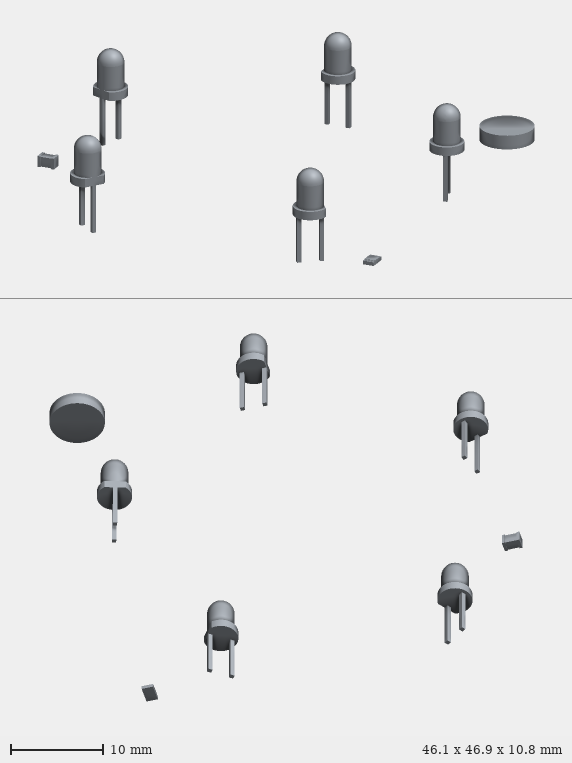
import cadquery as cq

lens_diameter = 3.0
lens_radius = lens_diameter / 2
flange_diameter = 3.8
flange_height = 1.0
barrel_height = 2.8
lead_length = 5.5
lead_width = 0.45
lead_pitch = 2.55
flat_distance = lens_radius

led_centres = [
    (-0.85, 18.5),
    (-21.15, 3.7),
    (-12.55, -20.7),
    (13.45, -19.3),
    (18.8, 4.3),
]
led_turn = 360 / len(led_centres)

cell_diameter = 6.0
cell_height = 1.6
cell_centre = (18.5, 20.45)
cell_bottom = -4.6

chip_length = 1.95
chip_width = 1.25

capacitor_height = chip_width
capacitor_centre = (-21.55, -11.55)
capacitor_bottom = -3.0
end_cap_length = 0.35
end_cap_overhang = 0.07

resistor_height = 0.5
resistor_centre = (22.4, -22.5)
resistor_bottom = -3.0
resistor_step_height = 0.05
resistor_step_length = 0.165
resistor_steps = 2


def make_led(centre, turn):
    """One LED, built at the origin with its flat facing -X, then turned and moved into place."""
    flange = cq.Workplane("XY").circle(flange_diameter / 2).extrude(flange_height)
    keep = (
        cq.Workplane("XY")
        .box(flange_diameter, flange_diameter, flange_height, centered=(False, True, False))
        .translate((-flat_distance, 0, 0))
    )
    flange = flange.intersect(keep)

    barrel_top = flange_height + barrel_height
    lens = (
        cq.Workplane("XZ")
        .lineTo(lens_radius, 0)
        .lineTo(lens_radius, barrel_top)
        .radiusArc((0, barrel_top + lens_radius), -lens_radius)
        .close()
        .revolve(360, (0, 0, 0), (0, 1, 0))
    )

    leads = (
        cq.Workplane("XY")
        .pushPoints([(-lead_pitch / 2, 0), (lead_pitch / 2, 0)])
        .rect(lead_width, lead_width)
        .extrude(-lead_length)
    )

    led = flange.union(lens).union(leads)
    return led.rotate((0, 0, 0), (0, 0, 1), turn).translate((*centre, 0))


def make_coin_cell():
    """A plain disc."""
    cell = cq.Workplane("XY").circle(cell_diameter / 2).extrude(cell_height)
    return cell.translate((*cell_centre, cell_bottom))


def make_capacitor():
    """A core with a slightly larger cap on each end."""
    core_width = chip_width - 2 * end_cap_overhang
    core_height = capacitor_height - 2 * end_cap_overhang
    body = cq.Workplane("XY").box(chip_length, core_width, core_height)
    for side in (-1, 1):
        end_cap = cq.Workplane("XY").box(end_cap_length, chip_width, capacitor_height)
        body = body.union(end_cap.translate((side * (chip_length - end_cap_length) / 2, 0, 0)))
    return body.translate((*capacitor_centre, capacitor_bottom + capacitor_height / 2))


def make_resistor():
    """A flat slab whose top steps up from both ends, each layer shorter than the one below."""
    slab_height = resistor_height - resistor_steps * resistor_step_height
    body = cq.Workplane("XY").rect(chip_width, chip_length).extrude(slab_height)
    for step in range(resistor_steps):
        layer_length = chip_length - 2 * (step + 1) * resistor_step_length
        layer = cq.Workplane("XY").rect(chip_width, layer_length).extrude(resistor_step_height)
        body = body.union(layer.translate((0, 0, slab_height + step * resistor_step_height)))
    return body.translate((*resistor_centre, resistor_bottom))


leds = [make_led(centre, index * led_turn) for index, centre in enumerate(led_centres)]
coin_cell = make_coin_cell()
capacitor = make_capacitor()
resistor = make_resistor()

result = cq.Compound.makeCompound(
    [*(led.val() for led in leds), coin_cell.val(), capacitor.val(), resistor.val()]
)